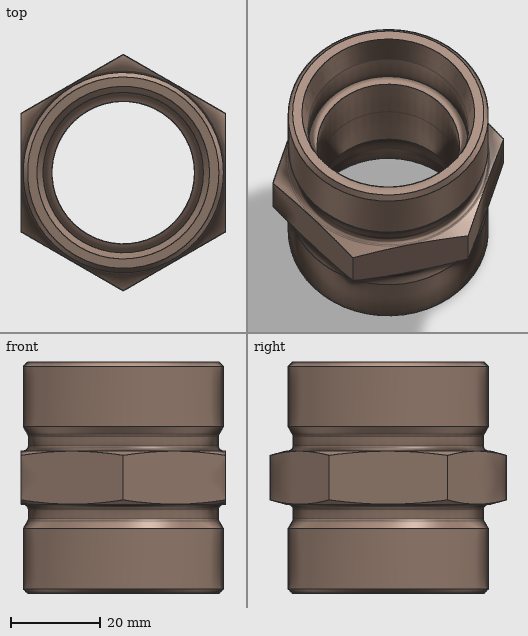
import cadquery as cq
import math

length = 52.0
half_length = length / 2
hex_corners = 53.1

thread_radius = 45.0 / 2
end_chamfer = 1.0
thread_start = 11.5

groove_radius = 42.7 / 2
relief_angle = math.radians(30)
relief_fillet = 1.1
hex_fillet = 1.15

hex_half_height = 6.0
hex_face_radius = 22.85
hex_chamfer_angle = math.radians(15)

bore_radius = 32.0 / 2
socket_radius = 36.0 / 2
socket_depth = 14.0
cone_depth = 6.5
cone_half_angle = math.radians(12)
mouth_radius = socket_radius + cone_depth * math.tan(cone_half_angle)


def make_hexagon():
    """Hexagon with corners on Y, its corners chamfered by a shallow cone at both faces."""
    prism = (
        cq.Workplane("XY")
        .polygon(6, hex_corners)
        .extrude(hex_half_height, both=True)
        .rotate((0, 0, 0), (0, 0, 1), 90)
    )
    corner_radius = hex_corners / 2
    chamfer_drop = (corner_radius - hex_face_radius) * math.tan(hex_chamfer_angle)
    edge_height = hex_half_height - chamfer_drop
    envelope = (
        cq.Workplane("XZ")
        .polyline([
            (0, -hex_half_height),
            (hex_face_radius, -hex_half_height),
            (corner_radius, -edge_height),
            (corner_radius, edge_height),
            (hex_face_radius, hex_half_height),
            (0, hex_half_height),
        ])
        .close()
        .revolve(360, (0, 0), (0, 1))
    )
    return prism.intersect(envelope)


def make_upper_end():
    """Solid threaded end with its relief groove, rising from the middle plane."""
    flank_foot = thread_start - (thread_radius - groove_radius) / math.tan(relief_angle)
    tangent_length = relief_fillet * math.tan(relief_angle / 2)
    flank_end = (
        groove_radius + tangent_length * math.sin(relief_angle),
        flank_foot + tangent_length * math.cos(relief_angle),
    )
    wall_top = (groove_radius, flank_foot - tangent_length)
    relief_middle = (
        groove_radius + relief_fillet * (1 - math.cos(relief_angle / 2)),
        wall_top[1] + relief_fillet * math.sin(relief_angle / 2),
    )
    fillet_offset = hex_fillet * (1 - math.sqrt(0.5))
    fillet_edge = groove_radius + hex_fillet
    return (
        cq.Workplane("XZ")
        .moveTo(0, half_length)
        .lineTo(thread_radius - end_chamfer, half_length)
        .lineTo(thread_radius, half_length - end_chamfer)
        .lineTo(thread_radius, thread_start)
        .lineTo(*flank_end)
        .threePointArc(relief_middle, wall_top)
        .lineTo(groove_radius, hex_half_height + hex_fillet)
        .threePointArc(
            (groove_radius + fillet_offset, hex_half_height + fillet_offset),
            (fillet_edge, hex_half_height),
        )
        .lineTo(fillet_edge, 0)
        .lineTo(0, 0)
        .close()
        .revolve(360, (0, 0), (0, 1))
    )


def make_upper_bore():
    """Tapered mouth, cylindrical socket and through bore above the middle plane."""
    return (
        cq.Workplane("XZ")
        .polyline([
            (0, 0),
            (bore_radius, 0),
            (bore_radius, half_length - socket_depth),
            (socket_radius, half_length - socket_depth),
            (socket_radius, half_length - cone_depth),
            (mouth_radius, half_length),
            (0, half_length),
        ])
        .close()
        .revolve(360, (0, 0), (0, 1))
    )


def with_mirror(upper):
    """Join an upper half to its mirror image below the middle plane."""
    return upper.union(upper.mirror("XY"))


body = make_hexagon().union(with_mirror(make_upper_end()))
result = body.cut(with_mirror(make_upper_bore()))